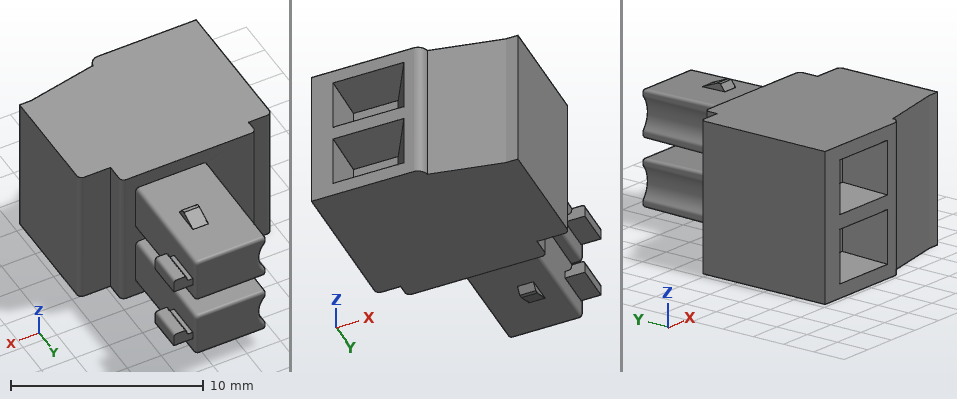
import cadquery as cq

width = 11.2
length = 15.5
height = 8.42
pole_pitch = 3.81
pole_count = 2

housing_length = 9.02
left_shoulder_x = 1.38
left_shoulder_y = 8.22
right_shoulder_x = 9.36
right_shoulder_y = 7.81
shoulder_radius = 0.28
lip_x = 5.87
lip_radius = 0.59
slope_start_x = 6.4
slope_start_y = 0.5
slope_end_x = 10.52
slope_end_y = 1.32

mouth_left = 1.24
mouth_right = 5.29
mouth_height = 3.0
floor_left = 1.49
floor_right = 4.05
floor_height = 1.77
funnel_depth = 2.02

post_left = 4.31
post_right = 8.52
post_base_height = 2.88
post_tip_height = 2.68
post_left_radius = 0.19
post_right_radius = 0.23
post_tip_radius = 0.19
post_root_overlap = 0.31

hollow_height = 1.89
hollow_depth = 0.37
hollow_lip_radius = 0.28

key_start_y = 13.19
key_end_y = 15.22
key_head_left = 8.88
key_right = 9.65
key_height = 0.78
key_stem_thickness = 0.45
key_inner_radius = 0.15
key_outer_radius = 0.19
key_overlap = 0.15

latch_left = 6.48
latch_right = 7.4
latch_ramp_end_y = 13.18
latch_crest_front_y = 11.98
latch_crest_back_y = 12.18
latch_start_y = 11.69
latch_crest_height = 1.78
latch_root_height = 1.08


def pole_z(index):
    """Height of the middle of a pole, with the row centred on the housing."""
    return height / 2 + (index - (pole_count - 1) / 2) * pole_pitch


def make_housing():
    body = (
        cq.Workplane("XY")
        .moveTo(0, 0)
        .lineTo(lip_x, 0)
        .radiusArc((slope_start_x, slope_start_y), -lip_radius)
        .lineTo(slope_end_x, slope_end_y)
        .lineTo(width, slope_end_y)
        .lineTo(width, right_shoulder_y)
        .lineTo(right_shoulder_x, right_shoulder_y)
        .lineTo(right_shoulder_x, housing_length)
        .lineTo(left_shoulder_x, housing_length)
        .lineTo(left_shoulder_x, left_shoulder_y)
        .lineTo(0, left_shoulder_y)
        .close()
        .extrude(height)
    )
    rounded_corners = (
        (0, left_shoulder_y),
        (left_shoulder_x, housing_length),
        (right_shoulder_x, housing_length),
        (width, right_shoulder_y),
    )
    for x, y in rounded_corners:
        corner = cq.selectors.NearestToPointSelector((x, y, height / 2))
        body = body.edges(corner).fillet(shoulder_radius)
    return body


def make_funnel():
    """Tapered wire entry, centred on Z = 0 and opening at Y = 0."""
    mouth_centre = (mouth_left + mouth_right) / 2
    floor_centre = (floor_left + floor_right) / 2
    return (
        cq.Workplane("XZ")
        .center(mouth_centre, 0)
        .rect(mouth_right - mouth_left, mouth_height)
        .workplane(offset=-funnel_depth)
        .center(floor_centre - mouth_centre, 0)
        .rect(floor_right - floor_left, floor_height)
        .loft(ruled=True)
    )


def make_post():
    """Tapered plug post with a hollow left side, centred on Z = 0."""
    root_y = housing_length - post_root_overlap
    block = (
        cq.Workplane("YZ", origin=(post_left, 0, 0))
        .moveTo(root_y, -post_base_height / 2)
        .lineTo(housing_length, -post_base_height / 2)
        .lineTo(length, -post_tip_height / 2)
        .lineTo(length, post_tip_height / 2)
        .lineTo(housing_length, post_base_height / 2)
        .lineTo(root_y, post_base_height / 2)
        .close()
        .extrude(post_right - post_left)
    )
    half_hollow = hollow_height / 2
    hollow_radius = (half_hollow**2 + hollow_depth**2) / (2 * hollow_depth)
    hollow = (
        cq.Workplane("XZ", origin=(0, root_y, 0))
        .center(post_left + hollow_depth - hollow_radius, 0)
        .circle(hollow_radius)
        .extrude(root_y - length)
    )
    post = block.cut(hollow)
    middle_y = (housing_length + length) / 2
    side_height = (post_base_height + post_tip_height) / 4
    long_edges = (
        (post_left, side_height, post_left_radius),
        (post_right, side_height, post_right_radius),
        (post_left, half_hollow, hollow_lip_radius),
    )
    for x, z, radius in long_edges:
        for side in (-1, 1):
            edge = cq.selectors.NearestToPointSelector((x, middle_y, side * z))
            post = post.edges(edge).fillet(radius)
    return post.faces(">Y").edges().fillet(post_tip_radius)


def make_key():
    """L-shaped key with its head rising above a stem, centred on Z = 0."""
    key_bottom = -key_height / 2
    key_top = key_height / 2
    stem_top = key_bottom + key_stem_thickness
    key_root = post_right - key_overlap
    key = (
        cq.Workplane("XZ", origin=(0, key_end_y, 0))
        .moveTo(key_root, key_bottom)
        .lineTo(key_right, key_bottom)
        .lineTo(key_right, key_top)
        .lineTo(key_head_left, key_top)
        .lineTo(key_head_left, stem_top)
        .lineTo(key_root, stem_top)
        .close()
        .extrude(key_end_y - key_start_y)
    )
    middle_y = (key_start_y + key_end_y) / 2
    corners = (
        (key_head_left, stem_top, key_inner_radius),
        (key_head_left, key_top, key_inner_radius),
        (key_right, key_top, key_outer_radius),
    )
    for x, z, radius in corners:
        edge = cq.selectors.NearestToPointSelector((x, middle_y, z))
        key = key.edges(edge).fillet(radius)
    return key


def make_latch():
    """Snap latch pointing to +Z, for a post centred on Z = 0."""
    taper = (post_base_height - post_tip_height) / 2 / (length - housing_length)

    def post_surface(y):
        return post_base_height / 2 - taper * (y - housing_length)

    return (
        cq.Workplane("YZ", origin=(latch_left, 0, 0))
        .moveTo(latch_start_y, latch_root_height)
        .lineTo(latch_start_y, post_surface(latch_start_y))
        .lineTo(latch_crest_front_y, latch_crest_height)
        .lineTo(latch_crest_back_y, latch_crest_height)
        .lineTo(latch_ramp_end_y, post_surface(latch_ramp_end_y))
        .lineTo(latch_ramp_end_y, latch_root_height)
        .close()
        .extrude(latch_right - latch_left)
    )


result = make_housing()
for pole in range(pole_count):
    place = (0, 0, pole_z(pole))
    result = result.cut(make_funnel().translate(place))
    result = result.union(make_post().translate(place))
    result = result.union(make_key().translate(place))

latch = make_latch()
result = result.union(latch.translate((0, 0, pole_z(pole_count - 1))))
result = result.union(latch.mirror("XY").translate((0, 0, pole_z(0))))